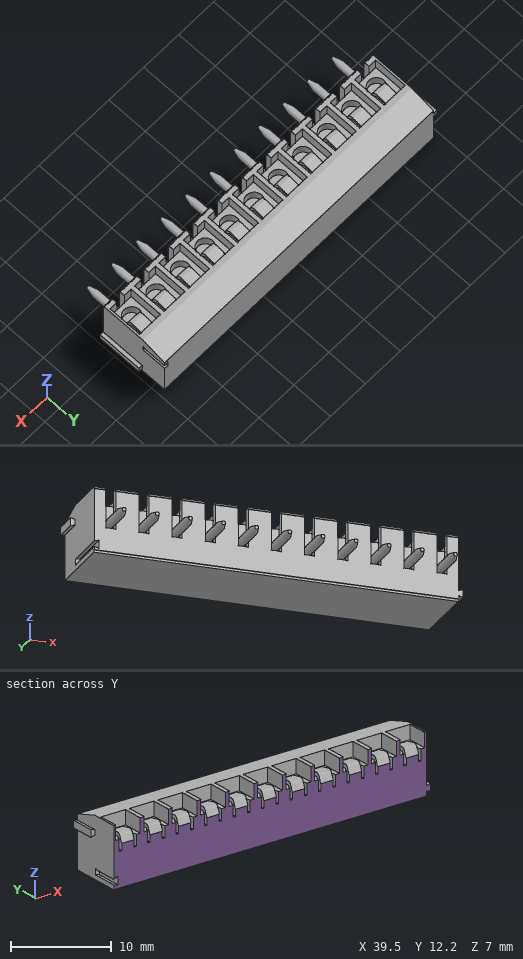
import cadquery as cq
import math

total_length = 39.5
housing_length = 38.5
housing_depth = 8.4
housing_height = 7.0
left_x = -housing_length / 2
right_x = housing_length / 2
bevel_depth = 2.95
bevel_drop = 0.9
rebate_depth = 0.1
rebate_height = 0.25

pole_count = 11
pitch = housing_length / pole_count
pocket_width = 3.0
pocket_depth = 4.03
front_wall = 0.7
floor_z = housing_height - 1.65
slot_width = 1.05
slot_bottom_z = housing_height - 4.25

well_radius = 1.03
well_y = 2.25
well_depth = 1.3

clamp_width = 1.55
clamp_radius = 0.5
clamp_slope = math.radians(12)
clamp_steepness = math.radians(69)
clamp_top_z = floor_z + 0.47
clamp_front_y = 2.55
clamp_run = 1.05
clamp_rear_turn = math.radians(50)

pin_diameter = 0.95
pin_tip_diameter = 0.4
pin_z = 3.35
pin_straight = 2.75
pin_length = 3.8

dovetail_depth = (total_length - housing_length) / 2
dovetail_neck = 0.6
dovetail_flare = 0.13
upper_dovetail_z = housing_height - 1.85
lower_dovetail_z = 0.85
upper_dovetail_length = bevel_depth
lower_dovetail_length = 5.37


def housing_block():
    """Block with a bevelled rear top edge and a small rebate along both front edges."""
    outline = [
        (rebate_depth, 0),
        (housing_depth, 0),
        (housing_depth, housing_height - bevel_drop),
        (housing_depth - bevel_depth, housing_height),
        (rebate_depth, housing_height),
        (rebate_depth, housing_height - rebate_height),
        (0, housing_height - rebate_height),
        (0, rebate_height),
        (rebate_depth, rebate_height),
    ]
    return cq.Workplane("YZ", origin=(left_x, 0, 0)).polyline(outline).close().extrude(housing_length)


def dovetail_bar(base_x, reach, start_y, length, center_z):
    """Bar along Y whose height grows from the neck at base_x to the head at base_x + reach."""
    neck = dovetail_neck / 2
    head = neck + dovetail_flare
    outline = [
        (base_x, center_z - neck),
        (base_x + reach, center_z - head),
        (base_x + reach, center_z + head),
        (base_x, center_z + neck),
    ]
    return cq.Workplane("XZ", origin=(0, start_y, 0)).polyline(outline).close().extrude(-length)


def block_at(x, start_y, bottom_z, width, depth, height):
    """Box centred on x that extends from start_y towards +Y and upwards from bottom_z."""
    corner_plane = cq.Workplane("XY", origin=(x, start_y, bottom_z))
    return corner_plane.box(width, depth, height, centered=(True, False, False))


def pole_cavity(x):
    """Open-topped pocket, its slot through the front wall and the round well in its floor."""
    pocket = block_at(x, front_wall, floor_z, pocket_width, pocket_depth, housing_height - floor_z)
    slot = block_at(x, 0, slot_bottom_z, slot_width, front_wall, housing_height - slot_bottom_z)
    well = cq.Workplane("XY", origin=(x, well_y, floor_z - well_depth)).circle(well_radius).extrude(well_depth)
    return pocket.union(slot).union(well)


def on_bend(center, angle):
    """Point (Y, Z) on a clamp bend, at an angle from straight up towards +Y."""
    y, z = center
    return (y + clamp_radius * math.sin(angle), z + clamp_radius * math.cos(angle))


def clamp(x):
    """Clamp strip with rounded front and rear bends, standing on the well bottom."""
    bottom_z = floor_z - well_depth
    front_bend = (clamp_front_y + clamp_radius * math.sin(clamp_steepness), clamp_top_z - clamp_radius)
    rear_bend = (front_bend[0] + clamp_run, front_bend[1] - clamp_run * math.tan(clamp_slope))
    front_y, front_z = on_bend(front_bend, -clamp_steepness)
    foot_y = front_y - (front_z - bottom_z) / math.tan(clamp_steepness)
    rear_y, rear_z = on_bend(rear_bend, clamp_rear_turn)
    rear_middle = (clamp_slope + clamp_rear_turn) / 2
    return (
        cq.Workplane("YZ", origin=(x - clamp_width / 2, 0, 0))
        .moveTo(foot_y, bottom_z)
        .lineTo(front_y, front_z)
        .threePointArc(on_bend(front_bend, 0), on_bend(front_bend, clamp_slope))
        .lineTo(*on_bend(rear_bend, clamp_slope))
        .threePointArc(on_bend(rear_bend, rear_middle), (rear_y, rear_z))
        .lineTo(rear_y, bottom_z)
        .close()
        .extrude(clamp_width)
    )


def pin(x):
    """Round pin through the front wall slot with a tapered tip."""
    radius = pin_diameter / 2
    return (
        cq.Workplane("XY", origin=(x, 0, pin_z))
        .moveTo(0, front_wall)
        .lineTo(-radius, front_wall)
        .lineTo(-radius, -pin_straight)
        .lineTo(-pin_tip_diameter / 2, -pin_length)
        .lineTo(0, -pin_length)
        .close()
        .revolve(360, (0, 0, 0), (0, 1, 0))
    )


def upper_dovetail(base_x):
    """Short rear dovetail that reaches towards -X from base_x."""
    start_y = housing_depth - upper_dovetail_length
    return dovetail_bar(base_x, -dovetail_depth, start_y, upper_dovetail_length, upper_dovetail_z)


def lower_dovetail(base_x):
    """Long front dovetail that reaches towards +X from base_x."""
    return dovetail_bar(base_x, dovetail_depth, 0, lower_dovetail_length, lower_dovetail_z)


result = housing_block()
result = result.union(upper_dovetail(left_x)).cut(upper_dovetail(right_x))
result = result.union(lower_dovetail(right_x)).cut(lower_dovetail(left_x))

for index in range(pole_count):
    pole_x = left_x + (index + 0.5) * pitch
    result = result.cut(pole_cavity(pole_x)).union(clamp(pole_x)).union(pin(pole_x))